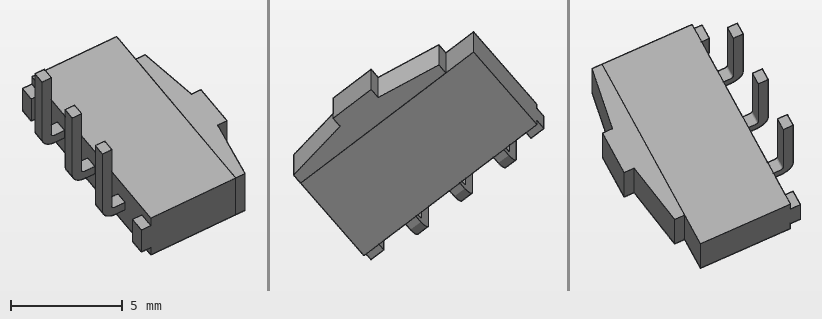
import cadquery as cq

housing_length = 10.0
housing_depth = 4.5
housing_height = 2.5

tab_width = 0.75
tab_depth = 0.5
tab_height = 1.5

pin_count = 3
pin_pitch = 2.54
pin_width = 0.6
pin_thickness = 0.5
pin_reach = 1.2
pin_bottom = 1.0
pin_top = 5.5
bend_inner_radius = 0.15
bend_outer_radius = bend_inner_radius + pin_thickness

lever_length = 8.4
lever_end_depth = 0.5
lever_shoulder_depth = 1.0
lever_depth = 1.5
button_width = 2.2


def make_block():
    return cq.Workplane("XY").box(
        housing_length, housing_depth, housing_height, centered=(True, False, False)
    )


def make_tab(side):
    """Tab at the -X end (side = -1) or the +X end (side = 1)."""
    center_x = side * (housing_length - tab_width) / 2
    return cq.Workplane("XY").box(tab_width, tab_depth, tab_height).translate(
        (center_x, -tab_depth / 2, housing_height / 2)
    )


def make_pin(center_x):
    """L-shaped pin leaving the front face and bending upward."""
    profile = (
        cq.Workplane("YZ")
        .moveTo(0, pin_bottom)
        .lineTo(-pin_reach, pin_bottom)
        .lineTo(-pin_reach, pin_top)
        .lineTo(-pin_reach + pin_thickness, pin_top)
        .lineTo(-pin_reach + pin_thickness, pin_bottom + pin_thickness)
        .lineTo(0, pin_bottom + pin_thickness)
        .close()
    )
    pin = profile.extrude(pin_width / 2, both=True)
    outer_corner = cq.NearestToPointSelector((0, -pin_reach, pin_bottom))
    pin = pin.edges("|X").edges(outer_corner).fillet(bend_outer_radius)
    inner_corner = cq.NearestToPointSelector(
        (0, -pin_reach + pin_thickness, pin_bottom + pin_thickness)
    )
    pin = pin.edges("|X").edges(inner_corner).fillet(bend_inner_radius)
    return pin.translate((center_x, 0, 0))


def make_housing():
    """Block with its tabs and pins as one solid."""
    housing = make_block()
    for side in (-1, 1):
        housing = housing.union(make_tab(side))
    for index in range(pin_count):
        center_x = (index - (pin_count - 1) / 2) * pin_pitch
        housing = housing.union(make_pin(center_x))
    return housing


def make_lever():
    """Tapered lever with a square button in the middle of its length."""
    half_length = lever_length / 2
    half_button = button_width / 2
    center_x = (housing_length - lever_length) / 2
    return (
        cq.Workplane("XY")
        .polyline([
            (-half_length, 0),
            (half_length, 0),
            (half_length, lever_end_depth),
            (half_button, lever_shoulder_depth),
            (half_button, lever_depth),
            (-half_button, lever_depth),
            (-half_button, lever_shoulder_depth),
            (-half_length, lever_end_depth),
        ])
        .close()
        .extrude(housing_height)
        .translate((center_x, housing_depth, 0))
    )


housing = make_housing()
lever = make_lever()

result = cq.Compound.makeCompound([housing.val(), lever.val()])